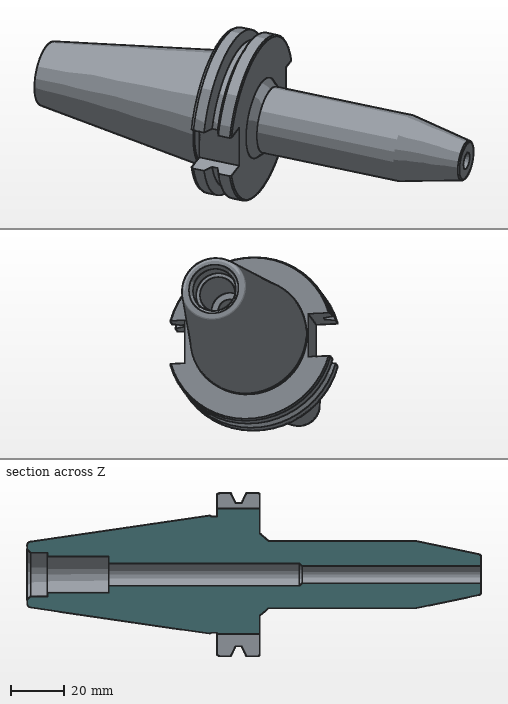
import cadquery as cq

total_length = 170.0
gauge_x = 68.5
flange_start = 71.0
flange_width = 16.1
flange_end = flange_start + flange_width
collar_length = 3.2
nose_length = 24.5

gauge_diameter = 44.4
taper_ratio = 7 / 24
neck_diameter = 43.7
flange_diameter = 63.4
collar_diameter = 31.0
shank_diameter = 25.3
tip_diameter = 15.3
small_end_diameter = gauge_diameter - gauge_x * taper_ratio

small_end_round = 1.5
tip_chamfer = 0.5
gauge_step = 0.5
rear_edge_length = 1.0
rear_edge_depth = 0.5
front_edge = 0.5

groove_offset = 8.2
groove_center = flange_start + groove_offset
groove_top_width = 5.8
groove_floor_width = 2.2
groove_depth = 3.5

slot_width = 16.7
shallow_slot_floor = 24.8
deep_slot_floor = 22.3

mouth_diameter = 18.9
pilot_diameter = 16.3
thread_diameter = 13.5
passage_diameter = 8.3
through_diameter = 6.3
mouth_depth = 1.4
pilot_depth = 7.6
thread_depth = 30.6
passage_depth = 102.0
passage_cone_length = 1.0


def revolve_profile(points):
    """Turn a list of (x, diameter) stations, closed along the X axis."""
    outline = [(points[0][0], 0)]
    outline += [(x, diameter / 2) for x, diameter in points]
    outline.append((points[-1][0], 0))
    return cq.Workplane("XY").polyline(outline).close().revolve(360, (0, 0, 0), (1, 0, 0))


def make_taper():
    taper = revolve_profile([(0, small_end_diameter), (gauge_x, gauge_diameter)])
    return taper.faces("<X").edges().fillet(small_end_round)


def make_flange_and_shank():
    floor_diameter = flange_diameter - 2 * groove_depth
    return revolve_profile([
        (gauge_x, gauge_diameter),
        (gauge_x + gauge_step, neck_diameter),
        (flange_start, neck_diameter),
        (flange_start, flange_diameter - 2 * rear_edge_depth),
        (flange_start + rear_edge_length, flange_diameter),
        (groove_center - groove_top_width / 2, flange_diameter),
        (groove_center - groove_floor_width / 2, floor_diameter),
        (groove_center + groove_floor_width / 2, floor_diameter),
        (groove_center + groove_top_width / 2, flange_diameter),
        (flange_end - front_edge, flange_diameter),
        (flange_end, flange_diameter - 2 * front_edge),
        (flange_end, collar_diameter),
        (flange_end + collar_length, shank_diameter),
        (total_length - nose_length, shank_diameter),
        (total_length - tip_chamfer, tip_diameter),
        (total_length, tip_diameter - 2 * tip_chamfer),
    ])


def make_drive_slot(floor, side):
    """Block that clears the flange beyond the slot floor; side is +1 or -1 along Y."""
    depth = flange_diameter / 2
    return (
        cq.Workplane("XY")
        .box(flange_width, depth, slot_width)
        .translate((flange_start + flange_width / 2, side * (floor + depth / 2), 0))
    )


def make_bore():
    return revolve_profile([
        (0, mouth_diameter),
        (mouth_depth, pilot_diameter),
        (pilot_depth, pilot_diameter),
        (pilot_depth, thread_diameter),
        (thread_depth, thread_diameter),
        (thread_depth, passage_diameter),
        (passage_depth, passage_diameter),
        (passage_depth + passage_cone_length, through_diameter),
        (total_length, through_diameter),
    ])


result = (
    make_taper()
    .union(make_flange_and_shank())
    .cut(make_drive_slot(shallow_slot_floor, 1))
    .cut(make_drive_slot(deep_slot_floor, -1))
    .cut(make_bore())
)